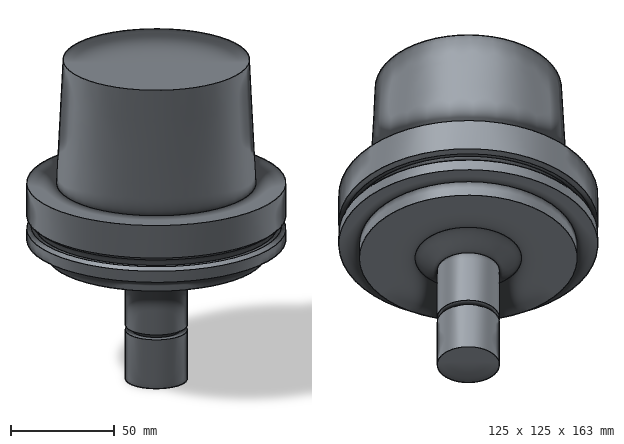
import cadquery as cq


shank_length = 63.0
shank_top_diameter = 90.0
shank_taper = 1 / 10
shank_base_diameter = shank_top_diameter + shank_length * shank_taper

flange_diameter = 125.0
flange_width = 29.0
groove_depth_below_face = 20.0
groove_floor_diameter = 117.0
groove_width = 3.5
groove_bevel_diameter = 121.0
groove_bevel_height = 1.6

collar_diameter = 105.0
collar_width = 8.0
cone_top_diameter = 51.4
cone_height = 7.5
stem_diameter = 30.0
neck_diameter = 23.0
neck_length = 2.5

overall_length = 163.0
head_diameter = stem_diameter
head_length = 25.0

flange_bottom = -flange_width
collar_bottom = flange_bottom - collar_width
cone_bottom = collar_bottom - cone_height
head_bottom = shank_length - overall_length
neck_bottom = head_bottom + head_length
stem_bottom = neck_bottom + neck_length


def cylinder(diameter, bottom, top):
    """Solid cylinder on the Z axis between two levels."""
    return cq.Workplane("XY").workplane(offset=bottom).circle(diameter / 2).extrude(top - bottom)


def cone(bottom_diameter, top_diameter, bottom, top):
    """Solid truncated cone on the Z axis between two levels."""
    height = top - bottom
    base = cq.Vector(0, 0, bottom)
    return cq.Workplane(cq.Solid.makeCone(bottom_diameter / 2, top_diameter / 2, height, base))


def make_gripper_groove():
    """Ring that cuts the gripper groove together with the bevels on its edges."""
    middle = -groove_depth_below_face
    floor_half_width = groove_width / 2
    mouth_half_width = floor_half_width + groove_bevel_height
    floor_radius = groove_floor_diameter / 2
    bevel_radius = groove_bevel_diameter / 2
    rim_radius = flange_diameter / 2
    profile = [
        (floor_radius, middle - floor_half_width),
        (bevel_radius, middle - floor_half_width),
        (rim_radius, middle - mouth_half_width),
        (rim_radius, middle + mouth_half_width),
        (bevel_radius, middle + floor_half_width),
        (floor_radius, middle + floor_half_width),
    ]
    return cq.Workplane("XZ").polyline(profile).close().revolve(360, (0, 0, 0), (0, 1, 0))


def make_holder():
    """Tapered shank, grooved flange, collar, cone, stem and neck as one solid."""
    shank = cone(shank_base_diameter, shank_top_diameter, 0, shank_length)
    flange = cylinder(flange_diameter, flange_bottom, 0).cut(make_gripper_groove())
    collar = cylinder(collar_diameter, collar_bottom, flange_bottom)
    stem_cone = cone(stem_diameter, cone_top_diameter, cone_bottom, collar_bottom)
    stem = cylinder(stem_diameter, stem_bottom, cone_bottom)
    neck = cylinder(neck_diameter, neck_bottom, stem_bottom)
    return shank.union(flange).union(collar).union(stem_cone).union(stem).union(neck)


def make_tool_head():
    """Plain cylindrical head that seats against the lower end of the neck."""
    return cylinder(head_diameter, head_bottom, neck_bottom)


holder = make_holder()
tool_head = make_tool_head()

result = cq.Compound.makeCompound([*holder.solids().vals(), *tool_head.solids().vals()])